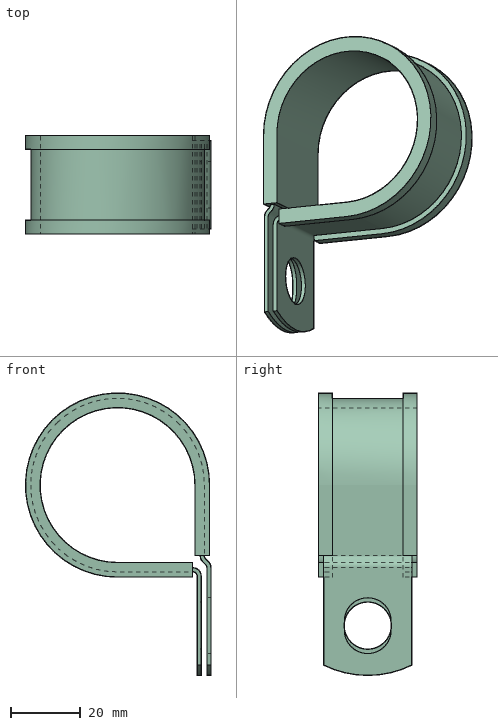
import cadquery as cq
import math


strap_thickness = 1.214
strap_width = 25.4
bend_radius = 1.2

bore_radius = 22.225
cushion_wall = 1.524
lip_width = 4.06
vertical_leg_length = 20.3
horizontal_leg_length = 21.6

inner_tab_x = 22.86
outer_tab_x = 25.66
inner_tab_bottom_z = -54.743
outer_tab_bottom_z = -54.72
tab_end_radius = 28.575
hole_diameter = 13.49
slot_length = 16.03
hole_z = -40.4
joggle_angle = 45.0

strap_inner_radius = bore_radius + cushion_wall
strap_outer_radius = strap_inner_radius + strap_thickness
rim_radius = strap_outer_radius + cushion_wall
cushion_width = strap_width + 2 * cushion_wall
bend_outer_radius = bend_radius + strap_thickness
joggle_top_z = -vertical_leg_length
lip_center_y = (cushion_width - lip_width) / 2


def loop_band(inner, outer, width, center_y=0.0):
    """Three-quarter ring with a leg down at +X and a leg out to +X at the bottom."""
    diagonal = math.sqrt(0.5)
    profile = (
        cq.Workplane("XZ", origin=(0, center_y, 0))
        .moveTo(outer, -vertical_leg_length)
        .lineTo(outer, 0)
        .threePointArc((-outer * diagonal, outer * diagonal), (0, -outer))
        .lineTo(horizontal_leg_length, -outer)
        .lineTo(horizontal_leg_length, -inner)
        .lineTo(0, -inner)
        .threePointArc((-inner * diagonal, inner * diagonal), (inner, 0))
        .lineTo(inner, -vertical_leg_length)
        .close()
    )
    return profile.extrude(width / 2, both=True)


def finish_tab(tab, bottom_z, hole_profile):
    """Round the free end of a tab and cut its bolt opening."""
    half_width = strap_width / 2
    end_rise = tab_end_radius - math.sqrt(tab_end_radius**2 - half_width**2)
    corner_z = bottom_z + end_rise
    envelope = (
        cq.Workplane("YZ")
        .moveTo(-half_width, 0)
        .lineTo(-half_width, corner_z)
        .threePointArc((0, bottom_z), (half_width, corner_z))
        .lineTo(half_width, 0)
        .close()
        .extrude(2 * rim_radius)
    )
    return tab.intersect(envelope).cut(hole_profile.extrude(2 * rim_radius))


def inner_tab():
    """Tab with a round hole, turned down from the end of the horizontal leg."""
    bend_start_x = inner_tab_x - bend_radius
    leg_start_x = bend_start_x - strap_thickness
    bend_center_z = -strap_outer_radius - bend_radius
    profile = (
        cq.Workplane("XZ")
        .moveTo(leg_start_x, -strap_inner_radius)
        .lineTo(bend_start_x, -strap_inner_radius)
        .radiusArc((inner_tab_x + strap_thickness, bend_center_z), bend_outer_radius)
        .lineTo(inner_tab_x + strap_thickness, inner_tab_bottom_z)
        .lineTo(inner_tab_x, inner_tab_bottom_z)
        .lineTo(inner_tab_x, bend_center_z)
        .radiusArc((bend_start_x, -strap_outer_radius), -bend_radius)
        .lineTo(leg_start_x, -strap_outer_radius)
        .close()
    )
    tab = profile.extrude(strap_width / 2, both=True)
    round_hole = cq.Workplane("YZ").center(0, hole_z).circle(hole_diameter / 2)
    return finish_tab(tab, inner_tab_bottom_z, round_hole)


def outer_tab():
    """Slotted tab below the vertical leg, joggled outwards by two equal bends."""
    angle = math.radians(joggle_angle)
    middle_radius = bend_radius + strap_thickness / 2
    half_thickness = strap_thickness / 2
    upper_x = strap_inner_radius + half_thickness
    lower_x = outer_tab_x + half_thickness
    bend_shift = middle_radius * (1 - math.cos(angle))
    bend_drop = middle_radius * math.sin(angle)
    slope_shift = lower_x - upper_x - 2 * bend_shift
    slope_drop = slope_shift / math.tan(angle)
    path = (
        cq.Workplane("XZ")
        .moveTo(upper_x, joggle_top_z + strap_thickness)
        .lineTo(upper_x, joggle_top_z)
        .radiusArc((upper_x + bend_shift, joggle_top_z - bend_drop), -middle_radius)
        .line(slope_shift, -slope_drop)
        .radiusArc((lower_x, joggle_top_z - 2 * bend_drop - slope_drop), middle_radius)
        .lineTo(lower_x, outer_tab_bottom_z)
    )
    section = cq.Workplane("XY", origin=(upper_x, 0, joggle_top_z + strap_thickness))
    tab = section.rect(strap_thickness, strap_width).sweep(path)
    upright = 90
    slot = cq.Workplane("YZ").center(0, hole_z).slot2D(slot_length, hole_diameter, upright)
    return finish_tab(tab, outer_tab_bottom_z, slot)


def cushion_and_strap_loop():
    """Loop of the strap on the cushion wall, with a cushion lip over each edge."""
    loop = loop_band(bore_radius, strap_outer_radius, cushion_width)
    for side in (-1, 1):
        lip = loop_band(bore_radius, rim_radius, lip_width, side * lip_center_y)
        loop = loop.union(lip)
    return loop


result = cushion_and_strap_loop().union(inner_tab()).union(outer_tab())